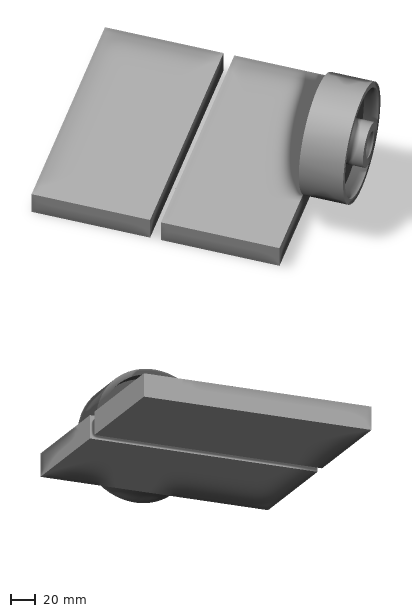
import cadquery as cq

plate_length = 100.0
plate_width = 2 * plate_length
plate_thickness = plate_length / 5
plate_gap = 9.2
plate_count = 2

overall_length = 254.5
overall_height = 106.5
wheel_diameter = 101.8
rim_width = 37.5
rim_inner_diameter = 92.0
hub_diameter = 38.0
hub_length = 51.1
bore_diameter = 22.5
web_thickness = 12.5

wheel_center_x = overall_length - hub_length / 2
wheel_center_z = overall_height - wheel_diameter / 2


def make_plate(start_x):
    """Plate with its lower corner at start_x, centred on Y and resting on Z = 0."""
    plate = cq.Workplane("XY").box(plate_length, plate_width, plate_thickness, centered=(False, True, False))
    return plate.translate((start_x, 0, 0))


def wheel_disc(diameter, width):
    """Solid cylinder on the wheel axis, centred on the wheel's middle plane."""
    start_plane = cq.Workplane("YZ", origin=(wheel_center_x - width / 2, 0, wheel_center_z))
    return start_plane.circle(diameter / 2).extrude(width)


def make_wheel():
    """Rim, recessed web and projecting hub, with a bore through the hub."""
    rim = wheel_disc(wheel_diameter, rim_width).cut(wheel_disc(rim_inner_diameter, rim_width))
    web = wheel_disc(rim_inner_diameter, web_thickness)
    hub = wheel_disc(hub_diameter, hub_length)
    bore = wheel_disc(bore_diameter, hub_length)
    return rim.union(web).union(hub).cut(bore)


plates = [make_plate(index * (plate_length + plate_gap)) for index in range(plate_count)]
wheel = make_wheel()

result = cq.Compound.makeCompound([*[plate.val() for plate in plates], wheel.val()])